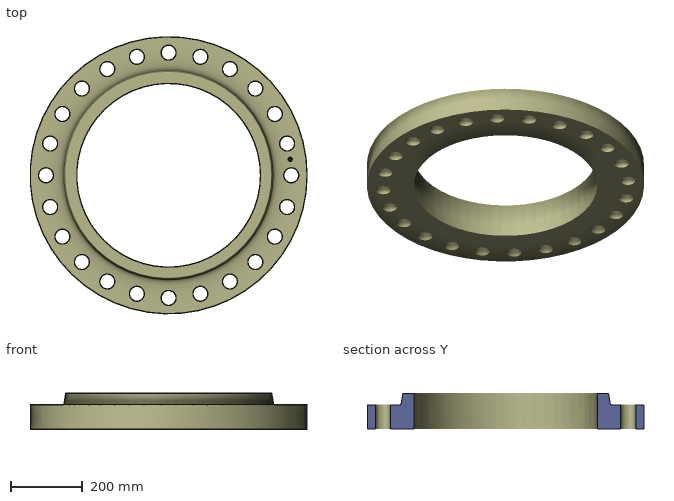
import cadquery as cq

flange_diameter = 774.5
flange_thickness = 70.0
bore_diameter = 513.0

total_height = 101.5
hub_base_diameter = 587.0
hub_top_diameter = 576.0
hub_fillet_radius = 1.5

bolt_circle_diameter = 685.5
bolt_count = 24
bolt_hole_diameter = 41.0
bolt_spacing_angle = 360.0 / bolt_count

pin_hole_diameter = 6.0
pin_hole_depth = 19.0
pin_counterbore_diameter = 12.0
pin_counterbore_depth = 2.0
pin_hole_angle = bolt_spacing_angle / 2


def ring_with_hub():
    """Ring and tapered hub, revolved about Z from their half section."""
    bore_radius = bore_diameter / 2
    flange_radius = flange_diameter / 2
    half_section = (
        cq.Workplane("XZ")
        .moveTo(bore_radius, 0)
        .lineTo(flange_radius, 0)
        .lineTo(flange_radius, flange_thickness)
        .lineTo(hub_base_diameter / 2, flange_thickness)
        .lineTo(hub_top_diameter / 2, total_height)
        .lineTo(bore_radius, total_height)
        .close()
    )
    body = half_section.revolve(360, (0, 0, 0), (0, 1, 0))
    return body.faces("%CONE").edges("%CIRCLE").fillet(hub_fillet_radius)


def holes_on_bolt_circle(diameter, depth, start_angle=0, count=1):
    """Cylinders sunk from the top face of the ring, evenly spaced on the bolt circle."""
    return (
        cq.Workplane("XY", origin=(0, 0, flange_thickness))
        .polarArray(bolt_circle_diameter / 2, start_angle, 360, count)
        .circle(diameter / 2)
        .extrude(-depth)
    )


bolt_holes = holes_on_bolt_circle(bolt_hole_diameter, flange_thickness, count=bolt_count)
pin_hole = holes_on_bolt_circle(pin_hole_diameter, pin_hole_depth, pin_hole_angle)
pin_counterbore = holes_on_bolt_circle(pin_counterbore_diameter, pin_counterbore_depth, pin_hole_angle)

result = ring_with_hub().cut(bolt_holes).cut(pin_hole).cut(pin_counterbore)